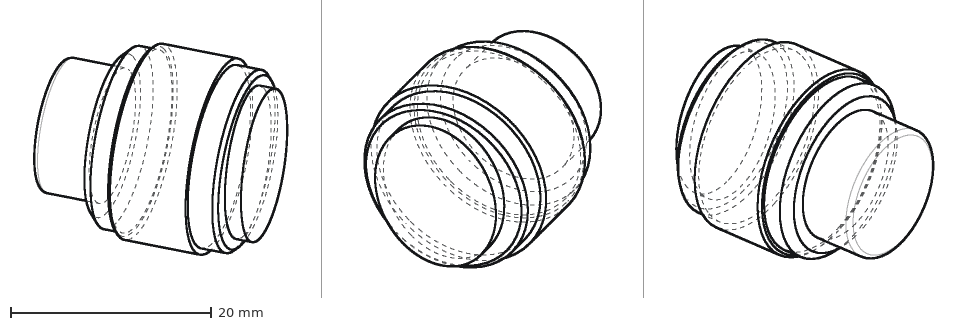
import cadquery as cq

collar_start = 6.0
body_start = 9.0
body_end = 17.32
collar_end = 20.38
overall_length = 22.2

nose_radius = 6.9
nose_fillet = 0.5
collar_radius = 9.35
front_collar_chamfer = 1.0
rear_collar_chamfer = 0.47
body_diameter = 20.0
body_radius = body_diameter / 2
body_chamfer = 0.3

tail_half_width = nose_radius
tail_half_height = 8.15
dome_radius = 222.0


def cylinder(start, end, radius):
    """Solid cylinder about the X axis between two positions."""
    return cq.Workplane("YZ", origin=(start, 0, 0)).circle(radius).extrude(end - start)


def make_nose():
    nose = cylinder(0, collar_start, nose_radius)
    return nose.faces("<X").edges().fillet(nose_fillet)


def make_collar():
    """Collar that passes through the body and shows on both sides of it."""
    collar = cylinder(collar_start, collar_end, collar_radius)
    collar = collar.faces("<X").edges().chamfer(front_collar_chamfer)
    return collar.faces(">X").edges().chamfer(rear_collar_chamfer)


def make_body():
    body = cylinder(body_start, body_end, body_radius)
    return body.faces("<X").edges().chamfer(body_chamfer)


def make_tail():
    """Elliptical column trimmed by a sphere that touches the rear end."""
    tail = (
        cq.Workplane("YZ", origin=(collar_end, 0, 0))
        .ellipse(tail_half_width, tail_half_height)
        .extrude(overall_length - collar_end)
    )
    dome = cq.Workplane("XY", origin=(overall_length - dome_radius, 0, 0)).sphere(dome_radius)
    return tail.intersect(dome)


result = make_nose().union(make_collar()).union(make_body()).union(make_tail())